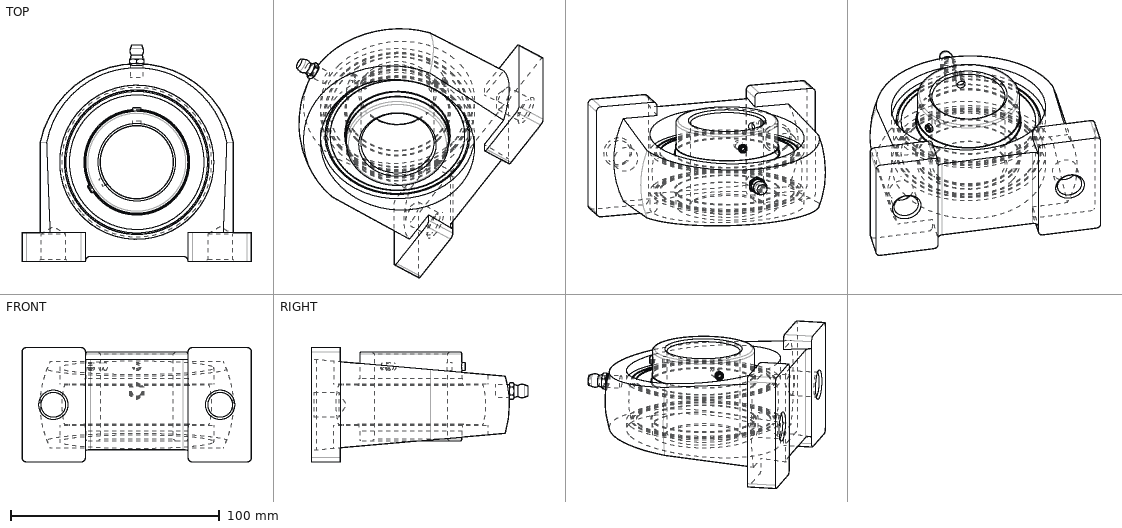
import cadquery as cq
import math


base_length = 110.0
base_y = -47.6
foot_width = 30.5
foot_thickness = 13.9
foot_height = 55.0
foot_corner_radius = 2.2
relief_depth = 2.4
relief_fillet = 2.3
bolt_spacing = 80.0
bolt_diameter = 11.9
bolt_chamfer = 1.1
bolt_depth = 13.2
drill_tip_angle = 118.0

dome_radius = 47.3
dome_start_y = 9.5
body_half_height = 21.7
body_taper_angle = 5.0

pocket_diameter = 73.9
pocket_floor_z = 10.0
seat_radius = 36.0

ring_half_width = pocket_floor_z
ring_chamfer_radial = 0.8
ring_chamfer_axial = 0.5
shield_diameter = 64.6
shield_recess = 0.5
gap_diameter = 50.7
gap_depth = 0.3
washer_diameter = 49.7
washer_top_z = 12.5
inner_ring_diameter = 49.0
inner_ring_top_z = 25.4
inner_ring_bottom_z = -17.5
inner_ring_fillet = 1.0
bore_diameter = 35.0
bore_chamfer = 1.1

screw_diameter = 4.0
screw_z = 18.4
screw_tip_radius = 26.3
screw_inner_radius = 19.8
screw_chamfer = 0.38
screw_socket_flats = 2.0
screw_socket_depth = 1.6
screw_angles = (90.0, 210.0)

nipple_z = 6.6
shank_diameter = 6.0
shank_bottom_y = 40.7
hex_bottom_y = dome_radius
hex_top_y = 49.4
hex_flats = 7.0
hex_chamfer = 0.4
cone_base_radius = 3.2
neck_radius = 2.8
neck_bottom_y = 51.2
neck_top_y = 51.5
ball_radius = 3.3
ball_middle_y = 53.0
ball_top_radius = 3.1
ball_top_y = 54.5
nipple_tip_diameter = 5.0
nipple_tip_y = 56.2


def crowned_body():
    """Part of a sphere, carried down to the relieved base face by a matching cylinder along Y."""
    relief_y = base_y + relief_depth
    wall_radius = math.sqrt(dome_radius**2 - dome_start_y**2)
    body = (
        cq.Workplane("XY")
        .moveTo(0, relief_y)
        .lineTo(wall_radius, relief_y)
        .lineTo(wall_radius, dome_start_y)
        .threePointArc((dome_radius / math.sqrt(2), dome_radius / math.sqrt(2)), (0, dome_radius))
        .close()
        .revolve(360, (0, 0, 0), (0, 1, 0))
    )

    end_half_height = body_half_height - (dome_radius - relief_y) * math.tan(math.radians(body_taper_angle))
    wedge = (
        cq.Workplane("YZ")
        .polyline(
            [
                (relief_y, -body_half_height),
                (dome_radius, -end_half_height),
                (dome_radius, end_half_height),
                (relief_y, body_half_height),
            ]
        )
        .close()
        .extrude(base_length / 2, both=True)
    )
    return body.intersect(wedge)


def foot(side):
    """Rounded foot block on the side of +X (1) or -X (-1)."""
    return (
        cq.Workplane("XY")
        .box(foot_width, foot_thickness, foot_height)
        .edges("|Y")
        .fillet(foot_corner_radius)
        .translate((side * (base_length - foot_width) / 2, base_y + foot_thickness / 2, 0))
    )


def bolt_hole(side):
    """Blind, chamfered bolt hole with a drill tip, bored from the base."""
    radius = bolt_diameter / 2
    tip_length = radius / math.tan(math.radians(drill_tip_angle / 2))
    return (
        cq.Workplane("XY")
        .polyline(
            [
                (0, 0),
                (radius + bolt_chamfer, 0),
                (radius, bolt_chamfer),
                (radius, bolt_depth),
                (0, bolt_depth + tip_length),
            ]
        )
        .close()
        .revolve(360, (0, 0, 0), (0, 1, 0))
        .translate((side * bolt_spacing / 2, base_y, 0))
    )


def make_housing():
    """Housing with its feet, bolt holes, bearing seat and nipple hole."""
    housing = crowned_body()
    for side in (-1, 1):
        housing = housing.union(foot(side))

    inner_x = base_length / 2 - foot_width
    relief_y = base_y + relief_depth
    for side in (-1, 1):
        corner = cq.selectors.NearestToPointSelector((side * inner_x, relief_y, 0))
        housing = housing.edges(corner).fillet(relief_fillet)

    for side in (-1, 1):
        housing = housing.cut(bolt_hole(side))

    housing = housing.cut(cq.Workplane("XY").sphere(seat_radius))
    for direction in (-1, 1):
        pocket = (
            cq.Workplane("XY", origin=(0, 0, direction * pocket_floor_z))
            .circle(pocket_diameter / 2)
            .extrude(direction * foot_height)
        )
        housing = housing.cut(pocket)

    nipple_hole = (
        cq.Workplane("XZ", origin=(0, shank_bottom_y, nipple_z))
        .circle(shank_diameter / 2)
        .extrude(shank_bottom_y - hex_top_y)
    )
    return housing.cut(nipple_hole)


def insert_half_profile(end_z, washer_z):
    """Outline points of one end of the insert, from the seat in to the bore, for z > 0."""
    chamfer_z = ring_half_width - ring_chamfer_axial
    chamfer_radius = math.sqrt(seat_radius**2 - chamfer_z**2)
    shield_z = ring_half_width - shield_recess
    return [
        (chamfer_radius, chamfer_z),
        (chamfer_radius - ring_chamfer_radial, ring_half_width),
        (shield_diameter / 2, ring_half_width),
        (shield_diameter / 2, shield_z),
        (gap_diameter / 2, shield_z),
        (gap_diameter / 2, shield_z - gap_depth),
        (washer_diameter / 2, shield_z - gap_depth),
        (washer_diameter / 2, washer_z),
        (inner_ring_diameter / 2, washer_z),
        (inner_ring_diameter / 2, end_z),
        (bore_diameter / 2 + bore_chamfer, end_z),
        (bore_diameter / 2, end_z - bore_chamfer),
    ]


def set_screw():
    """Set screw along +X with a chamfered outer end."""
    return (
        cq.Workplane("YZ", origin=(screw_inner_radius, 0, screw_z))
        .circle(screw_diameter / 2)
        .extrude(screw_tip_radius - screw_inner_radius)
        .faces(">X")
        .chamfer(screw_chamfer)
    )


def set_screw_socket():
    """Hexagon socket in the outer end of the set screw."""
    return (
        cq.Workplane("YZ", origin=(screw_tip_radius - screw_socket_depth, 0, screw_z))
        .polygon(6, screw_socket_flats, circumscribed=True)
        .extrude(screw_socket_depth)
    )


def set_screw_bore_end():
    """Open end of the screw hole, from the bore to the screw."""
    return (
        cq.Workplane("YZ", origin=(0, 0, screw_z))
        .circle(screw_diameter / 2)
        .extrude(screw_inner_radius)
    )


def make_bearing():
    """Bearing insert with its set screws, revolved about Z."""
    upper = insert_half_profile(inner_ring_top_z, washer_top_z)
    lower = [(r, -z) for r, z in insert_half_profile(-inner_ring_bottom_z, washer_top_z)]
    bearing = (
        cq.Workplane("XZ")
        .moveTo(*lower[0])
        .threePointArc((seat_radius, 0), upper[0])
        .polyline(upper[1:] + lower[:0:-1], includeCurrent=True)
        .close()
        .revolve(360, (0, 0, 0), (0, 1, 0))
    )
    rims = cq.selectors.RadiusNthSelector(-1)
    bearing = bearing.faces("|Z").faces(">Z").edges(rims).fillet(inner_ring_fillet)
    bearing = bearing.faces("|Z").faces("<Z").edges(rims).fillet(inner_ring_fillet)

    for angle in screw_angles:
        bearing = bearing.union(set_screw().rotate((0, 0, 0), (0, 0, 1), angle))
        bearing = bearing.cut(set_screw_socket().rotate((0, 0, 0), (0, 0, 1), angle))
        bearing = bearing.cut(set_screw_bore_end().rotate((0, 0, 0), (0, 0, 1), angle))
    return bearing


def nipple_hexagon():
    """Hexagon with a corner towards +Z and both ends chamfered."""
    hexagon = (
        cq.Workplane("XZ", origin=(0, hex_bottom_y, 0))
        .polygon(6, hex_flats, circumscribed=True)
        .extrude(hex_bottom_y - hex_top_y)
    )
    corner_radius = hex_flats / math.sqrt(3)
    rounding = (
        cq.Workplane("XZ", origin=(0, hex_bottom_y, 0))
        .circle(corner_radius)
        .extrude(hex_bottom_y - hex_top_y)
        .faces("<Y or >Y")
        .chamfer(hex_chamfer)
    )
    return hexagon.intersect(rounding)


def make_nipple():
    """Grease nipple along Y: shank, hexagon, cone, neck and ball head."""
    shank = (
        cq.Workplane("XZ", origin=(0, shank_bottom_y, 0))
        .circle(shank_diameter / 2)
        .extrude(shank_bottom_y - hex_bottom_y)
    )
    head = (
        cq.Workplane("XY")
        .moveTo(0, hex_top_y)
        .lineTo(cone_base_radius, hex_top_y)
        .lineTo(neck_radius, neck_bottom_y)
        .lineTo(neck_radius, neck_top_y)
        .threePointArc((ball_radius, ball_middle_y), (ball_top_radius, ball_top_y))
        .lineTo(nipple_tip_diameter / 2, nipple_tip_y)
        .lineTo(0, nipple_tip_y)
        .close()
        .revolve(360, (0, 0, 0), (0, 1, 0))
    )
    return shank.union(nipple_hexagon()).union(head).translate((0, 0, nipple_z))


housing = make_housing()
bearing = make_bearing()
nipple = make_nipple()

result = cq.Compound.makeCompound([housing.val(), bearing.val(), nipple.val()])